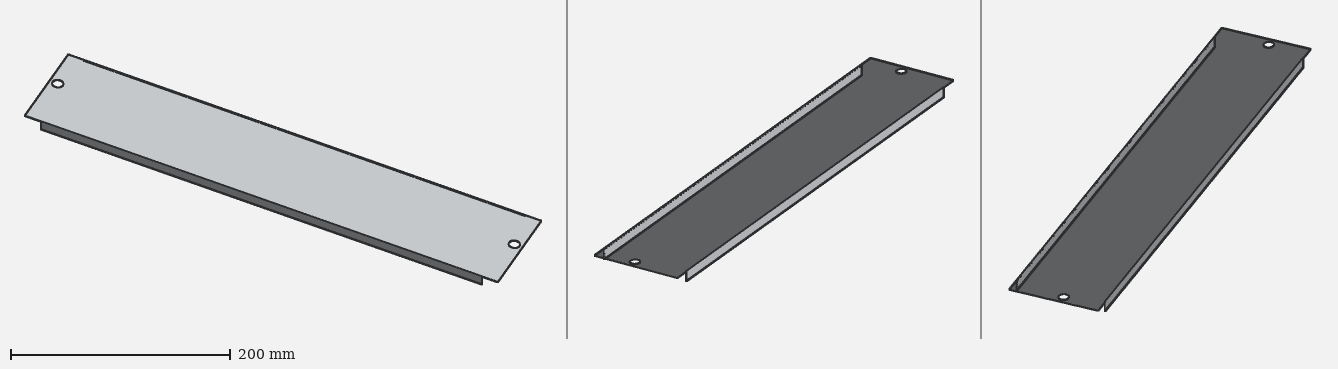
import cadquery as cq

PANEL_LENGTH = 482.0
PANEL_WIDTH = 88.7
CORNER_RADIUS = 0.5
OVERALL_HEIGHT = 11.0
SHEET_THICKNESS = 1.0

FLANGE_LENGTH = 449.0

SLOT_SPACING = 465.1
SLOT_LENGTH = 10.4
SLOT_WIDTH = 9.4
SLOT_OFFSET_Y = 6.2


def make_plate():
    """Flat plate with its top face at the full height of the part."""
    return (
        cq.Workplane("XY")
        .workplane(offset=OVERALL_HEIGHT - SHEET_THICKNESS)
        .rect(PANEL_LENGTH, PANEL_WIDTH)
        .extrude(SHEET_THICKNESS)
        .edges("|Z")
        .fillet(CORNER_RADIUS)
    )


def make_flange(side):
    """Flange flush with one long edge; side is -1 or +1 along Y."""
    center_y = side * (PANEL_WIDTH - SHEET_THICKNESS) / 2
    return (
        cq.Workplane("XY")
        .center(0, center_y)
        .rect(FLANGE_LENGTH, SHEET_THICKNESS)
        .extrude(OVERALL_HEIGHT)
    )


def make_slot_cutters():
    """Two obround cutters, elongated along X, passing through the plate."""
    slot_x = SLOT_SPACING / 2
    return (
        cq.Workplane("XY")
        .pushPoints([(-slot_x, SLOT_OFFSET_Y), (slot_x, SLOT_OFFSET_Y)])
        .slot2D(SLOT_LENGTH, SLOT_WIDTH)
        .extrude(OVERALL_HEIGHT)
    )


result = make_plate()
for flange_side in (-1, 1):
    result = result.union(make_flange(flange_side))
result = result.cut(make_slot_cutters())